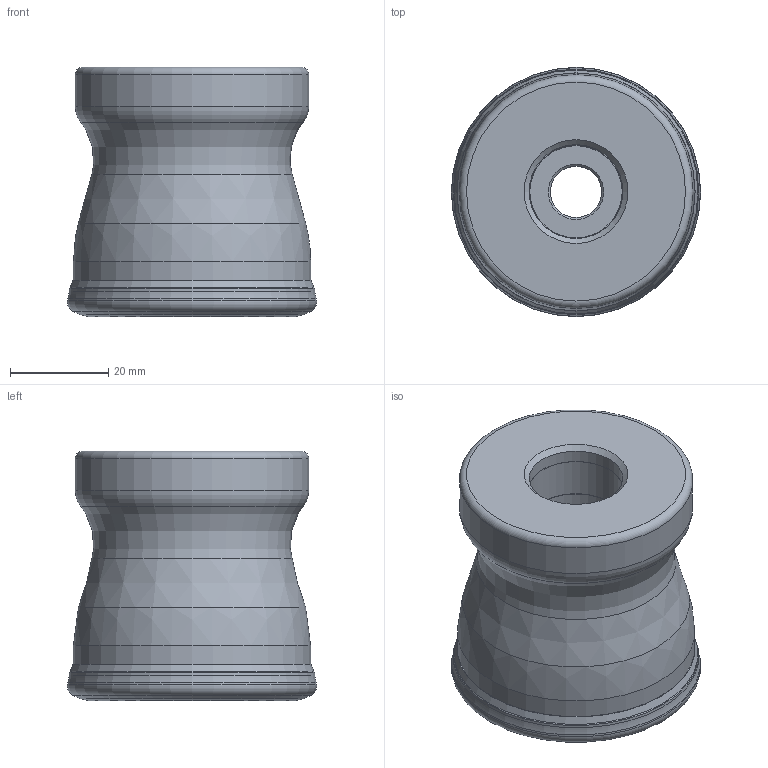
import cadquery as cq
import math

height = 50.8
axis_start = (0, 0, 0)
axis_direction_point = (0, 1, 0)

head_radius = 23.81
head_edge_fillet = 1.5
head_bottom_z = 42.86

waist_radius = 20.01
neck_arc_radius = 11.9
flare_angle = math.radians(15)
flare_top_z = 29.0
barrel_radius = 24.17
barrel_top_z = 11.3
barrel_arc_radius = 30.0

flange_top_radius = 24.27
flange_top_z = 7.4
flange_chamfer_radius = 24.83
flange_chamfer_z = 5.97
flange_lip_radius = 24.97
flange_lip_z = 5.75
flange_wall_radius = 25.02
flange_wall_z = 5.2
bead_radius = 25.4
bead_arc_radius = 2.0
bead_center_z = 2.92
bead_start_angle = math.radians(8)
bead_cone_length = 0.4
flange_hollow_depth = 0.03
bottom_slope = math.radians(27)
bottom_cone_height = 0.7
foot_radius = 21.1

bore_radius = 9.51
bore_chamfer = 1.02
entry_bore_radius = 9.56
entry_bore_depth = 3.57
hub_bore_radius = 9.41
hub_radius = 14.0
hub_top_z = 39.22
floor_z = 12.7
screw_hole_radius = 5.22
screw_hole_chamfer = 0.42


def revolve_profile(profile):
    """Turn a closed (radius, z) outline around the Z axis."""
    return profile.close().revolve(360, axis_start, axis_direction_point)


def arc_point(center, radius, angle):
    """Point on a circle in the (radius, z) plane, angle measured from outward."""
    return (center[0] + radius * math.cos(angle), center[1] + radius * math.sin(angle))


def make_knob():
    """Shell with head, neck and barrel, hollow to receive the hub of the base."""
    barrel_center = (barrel_radius - barrel_arc_radius, barrel_top_z)
    flare_bottom = arc_point(barrel_center, barrel_arc_radius, flare_angle)
    barrel_mid = arc_point(barrel_center, barrel_arc_radius, flare_angle / 2)

    waist_z = flare_top_z + neck_arc_radius * math.sin(flare_angle)
    neck_center = (waist_radius + neck_arc_radius, waist_z)
    flare_top = arc_point(neck_center, neck_arc_radius, math.pi + flare_angle)

    reach = neck_center[0] - head_radius
    rise = head_bottom_z - waist_z
    head_arc_radius = (reach**2 + rise**2 - neck_arc_radius**2) / (2 * (neck_arc_radius - reach))
    head_center = (head_radius - head_arc_radius, head_bottom_z)
    blend_angle = math.atan2(rise, reach + head_arc_radius)
    neck_top = arc_point(neck_center, neck_arc_radius, math.pi - blend_angle)
    head_mid = arc_point(head_center, head_arc_radius, -blend_angle / 2)

    fillet_center = (head_radius - head_edge_fillet, height - head_edge_fillet)
    fillet_mid = arc_point(fillet_center, head_edge_fillet, math.pi / 4)

    profile = (
        cq.Workplane("XZ")
        .moveTo(hub_radius, flange_top_z)
        .lineTo(barrel_radius, flange_top_z)
        .lineTo(barrel_radius, barrel_top_z)
        .threePointArc(barrel_mid, flare_bottom)
        .lineTo(*flare_top)
        .threePointArc((waist_radius, waist_z), neck_top)
        .threePointArc(head_mid, (head_radius, head_bottom_z))
        .lineTo(head_radius, fillet_center[1])
        .threePointArc(fillet_mid, (fillet_center[0], height))
        .lineTo(entry_bore_radius + bore_chamfer, height)
        .lineTo(entry_bore_radius, height - bore_chamfer)
        .lineTo(entry_bore_radius, height - entry_bore_depth)
        .lineTo(bore_radius, height - entry_bore_depth)
        .lineTo(bore_radius, hub_top_z)
        .lineTo(hub_radius, hub_top_z)
    )
    return revolve_profile(profile)


def make_base():
    """Flange with a central hub that fills the hollow of the knob."""
    bead_center = (bead_radius - bead_arc_radius, bead_center_z)
    bead_end_angle = bottom_slope - math.pi / 2
    bead_top = arc_point(bead_center, bead_arc_radius, bead_start_angle)
    bead_bottom = arc_point(bead_center, bead_arc_radius, bead_end_angle)
    cone_top = (
        bead_top[0] - bead_cone_length * math.tan(bead_start_angle),
        bead_top[1] + bead_cone_length,
    )
    hollow_mid = (
        (cone_top[0] + flange_wall_radius) / 2 - flange_hollow_depth,
        (cone_top[1] + flange_wall_z) / 2,
    )

    slope_bottom_z = bead_bottom[1] - bottom_cone_height
    slope_bottom_radius = bead_bottom[0] - bottom_cone_height / math.tan(bottom_slope)

    profile = (
        cq.Workplane("XZ")
        .moveTo(screw_hole_radius, 0)
        .lineTo(foot_radius, 0)
        .lineTo(slope_bottom_radius, slope_bottom_z)
        .lineTo(*bead_bottom)
        .threePointArc((bead_radius, bead_center_z), bead_top)
        .lineTo(*cone_top)
        .threePointArc(hollow_mid, (flange_wall_radius, flange_wall_z))
        .lineTo(flange_lip_radius, flange_lip_z)
        .lineTo(flange_chamfer_radius, flange_chamfer_z)
        .lineTo(flange_top_radius, flange_top_z)
        .lineTo(hub_radius, flange_top_z)
        .lineTo(hub_radius, hub_top_z)
        .lineTo(hub_bore_radius, hub_top_z)
        .lineTo(hub_bore_radius, floor_z)
        .lineTo(screw_hole_radius + screw_hole_chamfer, floor_z)
        .lineTo(screw_hole_radius, floor_z - screw_hole_chamfer)
    )
    return revolve_profile(profile)


knob = make_knob()
base = make_base()

result = cq.Compound.makeCompound([knob.val(), base.val()])